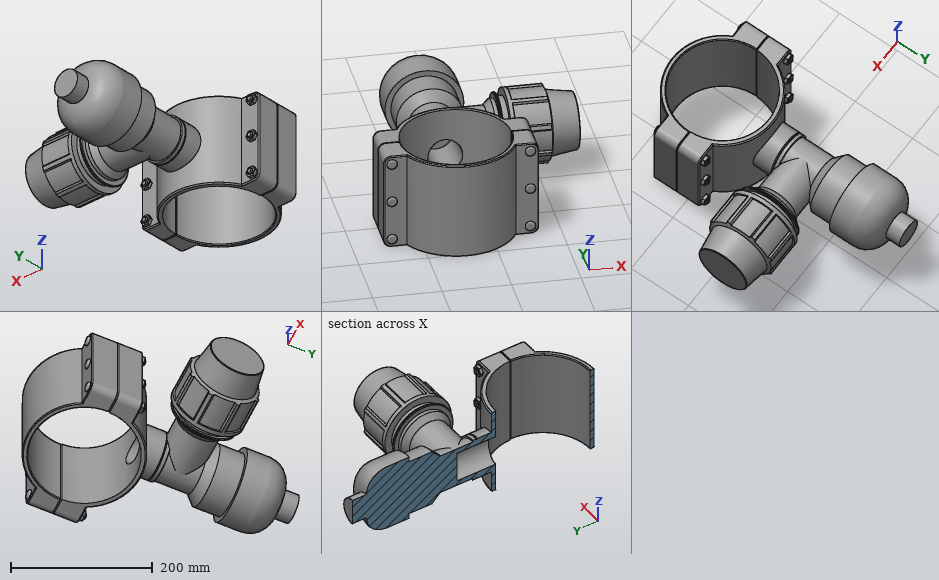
import cadquery as cq
import math

BORE_RADIUS = 80.0
SHELL_RADIUS = 87.85
CLAMP_HEIGHT = 145.0
CLAMP_HALF_WIDTH = 111.5
EAR_DEPTH = 39.8
EAR_CORNER_RADIUS = 11.0
UPPER_CHAMFER = 2.0
LOWER_CHAMFER = 1.5
BORE_CHAMFER = 1.5
BORE_EDGE_RELIEF = 2.0

BOLT_X = 99.5
BOLT_PITCH = 60.0
BOLT_DIAMETER = 10.0
BOLT_HEAD_DIAMETER = 15.0
BOLT_HEAD_HEIGHT = 3.3
BOLT_HEAD_ROUND = 3.0
NUT_ACROSS_FLATS = 15.0
NUT_HEIGHT = 5.0
BOLT_END_PROJECTION = 8.0
BOLT_END_CHAMFER = 1.5

OVERALL_LENGTH = 411.69
RISER_END = OVERALL_LENGTH - SHELL_RADIUS
SPIGOT_RADIUS = 43.6 / 2
CAP_RADIUS = 113.31 / 2
CAP_DOME_RADIUS = CAP_RADIUS - SPIGOT_RADIUS
CAP_TOP = 300.2
CAP_BOTTOM = 227.0
SOCKET_RADIUS = 96.31 / 2
SOCKET_BOTTOM = 188.3
NECK_RADIUS = 68.0 / 2
NECK_TOP = 174.3
BRANCH_RADIUS = 73.65 / 2
BRANCH_TOP = 119.0
BRANCH_JOINT = 112.8
BRANCH_CHAMFER = 2.0
OUTLET_RADIUS = 50.0 / 2

ARM_Y = 145.3
ARM_RADIUS = 67.8 / 2
ARM_CONE_START = 70.6
COLLAR_RADIUS = 84.75 / 2
COLLAR_START = 79.8
SEAL_RADIUS = 101.7 / 2
SEAL_START = 85.5
SEAL_END = 89.4
SEAL_CHAMFER = 1.2
SLEEVE_RADIUS = 90.4 / 2
FLANGE_RADIUS = 113.0 / 2
FLANGE_START = 98.9
FLANGE_END = 105.5

NUT_BODY_RADIUS = 53.5
NUT_BODY_END = 157.6
NUT_RIB_END = 156.4
NUT_CONE_START = 159.7
NUT_CONE_RADIUS = 48.0
ARM_END = 200.0
ARM_END_RADIUS = 41.8
ARM_END_CHAMFER = 1.0
RIB_COUNT = 8
RIB_TOP_HALF_WIDTH = 3.0
RIB_BASE_HALF_WIDTH = 4.8


def clamp_half(side):
    """Unbored half shell with two ears, on the +Y (side=1) or -Y (side=-1) side of the parting plane."""
    ears = (
        cq.Workplane("XY")
        .box(2 * CLAMP_HALF_WIDTH, EAR_DEPTH, CLAMP_HEIGHT)
        .edges("|Y")
        .fillet(EAR_CORNER_RADIUS)
        .translate((0, side * EAR_DEPTH / 2, 0))
    )
    shell = cq.Workplane("XY").cylinder(CLAMP_HEIGHT, SHELL_RADIUS)
    half_space = (
        cq.Workplane("XY")
        .box(2 * SHELL_RADIUS, SHELL_RADIUS, CLAMP_HEIGHT)
        .translate((0, side * SHELL_RADIUS / 2, 0))
    )
    return ears.union(shell.intersect(half_space))


def pipe_bore():
    """Pipe bore, bevelled at both ends on the -Y side only."""
    bore = cq.Workplane("XY").cylinder(CLAMP_HEIGHT, BORE_RADIUS)
    end = CLAMP_HEIGHT / 2
    bevel_profile = [
        (0, end),
        (BORE_RADIUS + BORE_CHAMFER, end),
        (BORE_RADIUS, end - BORE_CHAMFER),
        (0, end - BORE_CHAMFER),
    ]
    bevel = cq.Workplane("XZ").polyline(bevel_profile).close().revolve(180, (0, 0), (0, -1))
    return bore.union(bevel).union(bevel.mirror("XY"))


def clamp():
    """Both halves joined at the parting plane, where only the upper one is chamfered."""
    rim_edges = "(not (|Y or |Z)) or (|Z and >X) or (|Z and <X)"
    upper = clamp_half(1).edges(rim_edges).chamfer(UPPER_CHAMFER)
    lower = clamp_half(-1).edges(f"({rim_edges}) and (not >Y)").chamfer(LOWER_CHAMFER)
    bore_edge_reliefs = (
        cq.Workplane("XY", origin=(0, 0, -CLAMP_HEIGHT / 2))
        .pushPoints([(-BORE_RADIUS, 0), (BORE_RADIUS, 0)])
        .polygon(4, 2 * BORE_EDGE_RELIEF)
        .extrude(CLAMP_HEIGHT)
    )
    return upper.cut(bore_edge_reliefs).union(lower)


def bolt(x, z):
    """Round-headed bolt along Y with its head on the -Y ear face and a hexagon nut on the +Y one."""
    shank_radius = BOLT_DIAMETER / 2
    head_radius = BOLT_HEAD_DIAMETER / 2
    head_top = -EAR_DEPTH - BOLT_HEAD_HEIGHT
    shank_end = EAR_DEPTH + BOLT_END_PROJECTION
    turned = (
        cq.Workplane("XY")
        .moveTo(0, head_top)
        .lineTo(head_radius - BOLT_HEAD_ROUND, head_top)
        .radiusArc((head_radius, head_top + BOLT_HEAD_ROUND), -BOLT_HEAD_ROUND)
        .lineTo(head_radius, -EAR_DEPTH)
        .lineTo(shank_radius, -EAR_DEPTH)
        .lineTo(shank_radius, shank_end - BOLT_END_CHAMFER)
        .lineTo(shank_radius - BOLT_END_CHAMFER, shank_end)
        .lineTo(0, shank_end)
        .close()
        .revolve(360, (0, 0), (0, 1))
    )
    nut = (
        cq.Workplane("XZ", origin=(0, EAR_DEPTH, 0))
        .polygon(6, NUT_ACROSS_FLATS / math.cos(math.pi / 6))
        .extrude(-NUT_HEIGHT)
    )
    return turned.union(nut).translate((x, 0, z))


def riser():
    """Turned body from the clamp to the spigot: branch, neck, socket and domed cap."""
    return (
        cq.Workplane("XY")
        .lineTo(BRANCH_RADIUS, 0)
        .lineTo(BRANCH_RADIUS, BRANCH_JOINT - BRANCH_CHAMFER)
        .lineTo(BRANCH_RADIUS - BRANCH_CHAMFER, BRANCH_JOINT)
        .lineTo(BRANCH_RADIUS, BRANCH_JOINT)
        .lineTo(BRANCH_RADIUS, BRANCH_TOP)
        .lineTo(NECK_RADIUS, BRANCH_TOP)
        .lineTo(NECK_RADIUS, NECK_TOP)
        .lineTo(SOCKET_RADIUS, SOCKET_BOTTOM)
        .lineTo(SOCKET_RADIUS, CAP_BOTTOM)
        .lineTo(CAP_RADIUS, CAP_BOTTOM)
        .lineTo(CAP_RADIUS, CAP_TOP - CAP_DOME_RADIUS)
        .radiusArc((SPIGOT_RADIUS, CAP_TOP), -CAP_DOME_RADIUS)
        .lineTo(SPIGOT_RADIUS, RISER_END)
        .lineTo(0, RISER_END)
        .close()
        .revolve(360, (0, 0), (0, 1))
    )


def arm():
    """Turned body of the side arm, from the riser axis outwards along +X."""
    profile = [
        (0, 0),
        (0, ARM_RADIUS),
        (ARM_CONE_START, ARM_RADIUS),
        (COLLAR_START, COLLAR_RADIUS),
        (SEAL_START, COLLAR_RADIUS),
        (SEAL_START, SEAL_RADIUS - SEAL_CHAMFER),
        (SEAL_START + SEAL_CHAMFER, SEAL_RADIUS),
        (SEAL_END - SEAL_CHAMFER, SEAL_RADIUS),
        (SEAL_END, SEAL_RADIUS - SEAL_CHAMFER),
        (SEAL_END, SLEEVE_RADIUS),
        (FLANGE_START, SLEEVE_RADIUS),
        (FLANGE_START, FLANGE_RADIUS),
        (FLANGE_END, FLANGE_RADIUS),
        (FLANGE_END, NUT_BODY_RADIUS),
        (NUT_BODY_END, NUT_BODY_RADIUS),
        (NUT_CONE_START, NUT_CONE_RADIUS),
        (ARM_END - ARM_END_CHAMFER, ARM_END_RADIUS),
        (ARM_END, ARM_END_RADIUS - ARM_END_CHAMFER),
        (ARM_END, 0),
    ]
    return cq.Workplane("XY").polyline(profile).close().revolve(360, (0, 0), (1, 0))


def nut_ribs():
    """Flared lengthwise ribs, flush with the flange and bevelled at the far end."""
    envelope_profile = [
        (FLANGE_START, 0),
        (FLANGE_START, FLANGE_RADIUS),
        (NUT_RIB_END, FLANGE_RADIUS),
        (NUT_BODY_END, NUT_BODY_RADIUS),
        (NUT_BODY_END, 0),
    ]
    envelope = cq.Workplane("XY").polyline(envelope_profile).close().revolve(360, (0, 0), (1, 0))
    section = [
        (-RIB_BASE_HALF_WIDTH, NUT_CONE_RADIUS),
        (RIB_BASE_HALF_WIDTH, NUT_CONE_RADIUS),
        (RIB_BASE_HALF_WIDTH, NUT_BODY_RADIUS),
        (RIB_TOP_HALF_WIDTH, FLANGE_RADIUS),
        (-RIB_TOP_HALF_WIDTH, FLANGE_RADIUS),
        (-RIB_BASE_HALF_WIDTH, NUT_BODY_RADIUS),
    ]
    bar = (
        cq.Workplane("YZ", origin=(FLANGE_START, 0, 0))
        .polyline(section)
        .close()
        .extrude(NUT_BODY_END - FLANGE_START)
    )
    pitch = 360 / RIB_COUNT
    half_pitch = pitch / 2
    ribs = cq.Workplane("XY")
    for index in range(RIB_COUNT):
        ribs = ribs.union(bar.rotate((0, 0, 0), (1, 0, 0), half_pitch + index * pitch))
    return ribs.intersect(envelope)


side_arm = arm().union(nut_ribs()).translate((0, ARM_Y, 0))
outlet = cq.Workplane("XZ").circle(OUTLET_RADIUS).extrude(-ARM_Y)

result = clamp().union(riser()).union(side_arm).cut(pipe_bore()).cut(outlet)
for bolt_x in (-BOLT_X, BOLT_X):
    for bolt_z in (-BOLT_PITCH, 0, BOLT_PITCH):
        result = result.union(bolt(bolt_x, bolt_z))